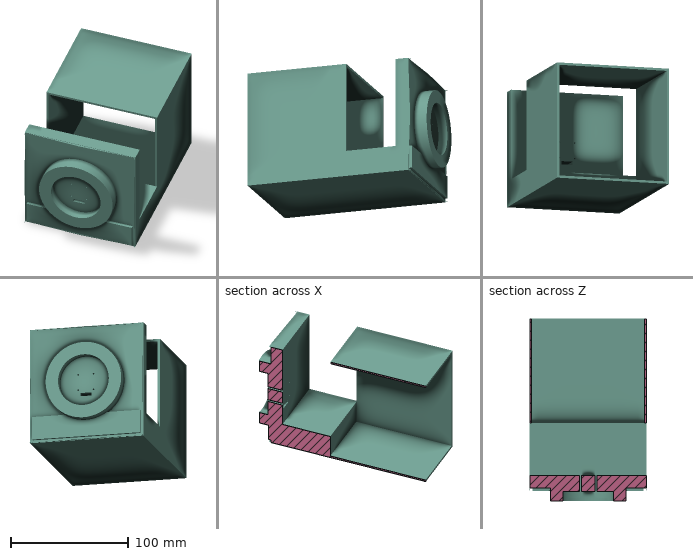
import cadquery as cq

side = 99.9
total_depth = 155.4
ring_height = 11.0
half = side / 2
front_y = -total_depth / 2 + ring_height
back_y = total_depth / 2

wall = 2.0
base_height = 22.4
plate_thickness = 11.2
gap_depth = 44.5
deck_z = -half + base_height
plate_back_y = front_y + plate_thickness
hood_y = plate_back_y + gap_depth

ring_radius = 33.3
ring_bore_radius = 22.4
bore_floor_height = 3.0
bore_floor_y = front_y - bore_floor_height
screw_pitch = 13.5
screw_diameter = 1.4
slot_width = 10.0
slot_height = 2.8
slot_x = 0.2
slot_z = -10.9

pad_width = 95.0
pad_height = 19.9
pad_thickness = 2.5
pad_margin = (side - pad_width) / 2

lip_thickness = 0.3
lip_inset = 0.3
lip_reach = half - lip_inset
gable_height = 1.7
post_height = 2.2
lip_overlap = 0.2


def box_between(x_range, y_range, z_range):
    """Box spanning the given (low, high) ranges."""
    sizes = [high - low for low, high in (x_range, y_range, z_range)]
    corner = (x_range[0], y_range[0], z_range[0])
    return cq.Workplane("XY").box(*sizes, centered=False).translate(corner)


def front_plane(y):
    """Workplane at the given Y, facing -Y."""
    return cq.Workplane("XZ", origin=(0, y, 0))


def make_housing():
    full = (-half, half)
    inside = (-half + wall, half - wall)
    body = box_between(full, (front_y, back_y), full)
    gap = box_between(full, (plate_back_y, hood_y), (deck_z, half))
    cavity = box_between(inside, (hood_y, back_y), inside)
    return body.cut(gap).cut(cavity)


def make_pad():
    bottom = -half + pad_margin
    return box_between(
        (-pad_width / 2, pad_width / 2),
        (front_y - pad_thickness, front_y),
        (bottom, bottom + pad_height),
    )


def make_ring():
    return front_plane(front_y).circle(ring_radius).extrude(ring_height)


def make_gable():
    """Triangular lip along the top edge, highest at its middle."""
    root_y = front_y + lip_overlap
    outline = [
        (-lip_reach, root_y),
        (-lip_reach, front_y),
        (0, front_y - gable_height),
        (lip_reach, front_y),
        (lip_reach, root_y),
    ]
    profile = cq.Workplane("XY", origin=(0, 0, lip_reach - lip_thickness)).polyline(outline).close()
    return profile.extrude(lip_thickness)


def make_post():
    """Small square post in the top corner on the +X side."""
    span = (lip_reach - lip_thickness, lip_reach)
    return box_between(span, (front_y - post_height, front_y + lip_overlap), span)


def make_plate_openings():
    depth = -(plate_thickness + bore_floor_height)
    screws = front_plane(bore_floor_y).rect(screw_pitch, screw_pitch, forConstruction=True).vertices()
    holes = screws.circle(screw_diameter / 2).extrude(depth)
    slot = front_plane(bore_floor_y).center(slot_x, slot_z).rect(slot_width, slot_height).extrude(depth)
    return holes.union(slot)


result = make_housing().union(make_pad()).union(make_ring())
for quarter in range(4):
    for lip_piece in (make_gable(), make_post()):
        result = result.union(lip_piece.rotate((0, 0, 0), (0, 1, 0), 90 * quarter))

ring_bore = front_plane(bore_floor_y).circle(ring_bore_radius).extrude(ring_height)
result = result.cut(ring_bore).cut(make_plate_openings())